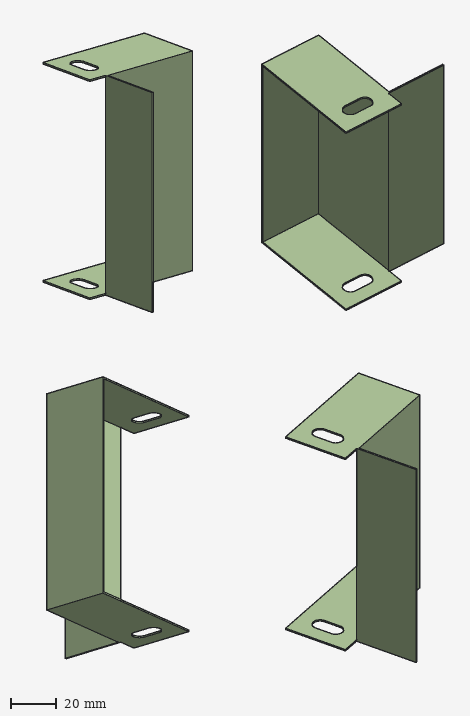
import cadquery as cq

height = 101.6
length_x = 61.8
depth_y = 59.1
sheet = 0.8

box_width = 31.8
flange_front = 9.0

slot_length = 15.0
slot_width = 7.0
slot_center_x = 15.0
slot_center_y = 10.8


def block(x_start, x_end, y_start, y_end, z_start, z_end):
    """Rectangular plate between the given coordinates."""
    size = (x_end - x_start, y_end - y_start, z_end - z_start)
    return cq.Workplane("XY").box(*size, centered=False).translate((x_start, y_start, z_start))


def end_plate(z_start):
    """Horizontal plate, with its front tab narrower by the side wall thickness."""
    tab = block(0, box_width - sheet, 0, depth_y, z_start, z_start + sheet)
    cover = block(0, box_width, flange_front, depth_y, z_start, z_start + sheet)
    slot = (
        cq.Workplane("XY", origin=(slot_center_x, slot_center_y, z_start))
        .slot2D(slot_length, slot_width)
        .extrude(sheet)
    )
    return tab.union(cover).cut(slot)


back_wall = block(0, box_width, depth_y - sheet, depth_y, 0, height)
side_wall = block(box_width - sheet, box_width, flange_front, depth_y, 0, height)
flange = block(box_width - sheet, length_x, flange_front, flange_front + sheet, 0, height)

result = back_wall.union(side_wall).union(flange)
for plate_bottom in (0, height - sheet):
    result = result.union(end_plate(plate_bottom))